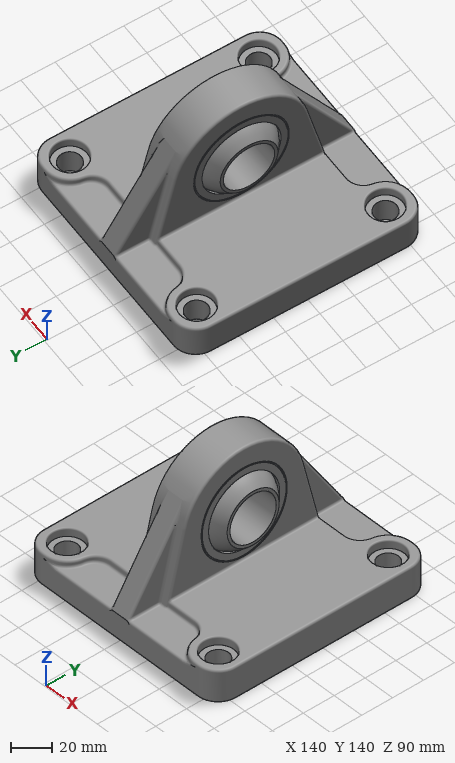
import cadquery as cq
import math

base_side = 140.0
base_height = 20.0
corner_radius = 13.0
bottom_round = 1.0
edge_round = 1.5

hole_offset = 55.0
hole_diameter = 13.0
counterbore_diameter = 20.0
counterbore_depth = 5.0
counterbore_round = 1.0

pocket_depth = 4.0
pocket_bend_radius = 10.0
pocket_overrun = 7.0

axis_height = 50.0
lug_radius = 40.0
lug_thickness = 24.0
lug_side_angle = math.radians(14.0)

rib_thickness = 13.0
rib_top_offset = 33.3

ball_diameter = 50.0
ball_width = 37.0
ball_bore = 30.0
race_bore = 46.0
race_diameter = 54.3
groove_diameter = 55.7
groove_depth = 0.7

half_side = base_side / 2
pocket_floor = base_height - pocket_depth
corner_pad_radius = half_side - hole_offset
lug_tangent_y = lug_radius * math.cos(lug_side_angle)
lug_tangent_z = axis_height + lug_radius * math.sin(lug_side_angle)
lug_half = lug_thickness / 2
rib_half = rib_thickness / 2
lug_top = axis_height + lug_radius


def lug_half_width(z):
    """Distance from the middle to the sloping lug side at height z."""
    return lug_tangent_y + (lug_tangent_z - z) * math.tan(lug_side_angle)


def centred_in(low, high):
    """Selector for items whose centre lies in a box, with a small margin."""
    margin = 0.07
    return cq.selectors.BoxSelector(
        [value - margin for value in low],
        [value + margin for value in high],
    )


def disc(diameter, width):
    """Cylinder on the bearing axis, centred on the lug."""
    return (
        cq.Workplane("YZ")
        .center(0, axis_height)
        .circle(diameter / 2)
        .extrude(width / 2, both=True)
    )


def make_plate():
    pocket = make_pocket()
    plate = (
        cq.Workplane("XY")
        .rect(base_side, base_side)
        .extrude(base_height)
        .edges("|Z")
        .fillet(corner_radius)
        .cut(pocket)
        .cut(pocket.mirror("XZ"))
    )
    plate = plate.faces(">Z").edges().fillet(edge_round)
    return plate.faces("<Z").edges().fillet(bottom_round)


def make_pocket():
    """Cutter for the +Y pocket, bending round the corner pads, wall foot rounded."""
    wall_y = lug_half_width(base_height)
    bend_y = wall_y + pocket_bend_radius
    centre_gap = corner_pad_radius + pocket_bend_radius
    rise = bend_y - hole_offset
    bend_x = hole_offset - math.sqrt(centre_gap**2 - rise**2)

    toward_x = (bend_x - hole_offset) / centre_gap
    toward_y = rise / centre_gap
    joint = (
        hole_offset + corner_pad_radius * toward_x,
        hole_offset + corner_pad_radius * toward_y,
    )
    pad_mid_angle = (math.pi / 2 + math.atan2(toward_y, toward_x)) / 2
    pad_mid = (
        hole_offset + corner_pad_radius * math.cos(pad_mid_angle),
        hole_offset + corner_pad_radius * math.sin(pad_mid_angle),
    )
    bend_mid_angle = (math.atan2(-toward_y, -toward_x) - math.pi / 2) / 2
    bend_mid = (
        bend_x + pocket_bend_radius * math.cos(bend_mid_angle),
        bend_y + pocket_bend_radius * math.sin(bend_mid_angle),
    )

    def mirrored(point):
        return (-point[0], point[1])

    outer_y = half_side + pocket_overrun
    pocket = (
        cq.Workplane("XY", origin=(0, 0, pocket_floor))
        .moveTo(-bend_x, wall_y)
        .lineTo(bend_x, wall_y)
        .threePointArc(bend_mid, joint)
        .threePointArc(pad_mid, (hole_offset, half_side))
        .lineTo(hole_offset, outer_y)
        .lineTo(-hole_offset, outer_y)
        .lineTo(-hole_offset, half_side)
        .threePointArc(mirrored(pad_mid), mirrored(joint))
        .threePointArc(mirrored(bend_mid), (-bend_x, wall_y))
        .close()
        .extrude(pocket_depth)
    )
    wall_foot = centred_in((-half_side, 0, pocket_floor), (half_side, half_side, pocket_floor))
    return pocket.edges(wall_foot).fillet(edge_round)


def make_lug():
    foot_y = lug_half_width(pocket_floor)
    lug = (
        cq.Workplane("YZ")
        .moveTo(-foot_y, pocket_floor)
        .lineTo(-lug_tangent_y, lug_tangent_z)
        .threePointArc((0, lug_top), (lug_tangent_y, lug_tangent_z))
        .lineTo(foot_y, pocket_floor)
        .close()
        .extrude(lug_half, both=True)
    )
    return lug.faces("<X or >X").edges("not <Z").fillet(edge_round)


def make_ribs():
    rib_top = axis_height + math.sqrt(lug_radius**2 - rib_top_offset**2)
    ribs = (
        cq.Workplane("YZ")
        .moveTo(-half_side, pocket_floor)
        .lineTo(-rib_top_offset, rib_top)
        .lineTo(rib_top_offset, rib_top)
        .lineTo(half_side, pocket_floor)
        .close()
        .extrude(rib_half, both=True)
    )
    sloping = ribs.faces("<X or >X").edges("not |Y")
    return sloping.fillet(edge_round)


def blend_joints(body):
    """Round the pocket rims and the joints of lug, ribs and plate."""
    floors = centred_in(
        (-half_side, -half_side, pocket_floor),
        (half_side, half_side, pocket_floor),
    )
    joints = body.faces(floors).edges()
    lug_end_y = lug_half_width(base_height)
    for side in (-1, 1):
        foot_x = side * lug_half
        foot = centred_in((foot_x, 0, base_height), (foot_x, 0, base_height))
        rib_x = side * rib_half
        rib_joints = centred_in(
            (rib_x, -lug_end_y, base_height),
            (rib_x, lug_end_y, lug_top),
        )
        joints = joints.add(body.edges(foot)).add(body.edges(rib_joints))
    return body.newObject([body.val().fillet(edge_round, joints.vals())])


def cut_mounting_holes(body):
    places = [
        (x, y)
        for x in (-hole_offset, hole_offset)
        for y in (-hole_offset, hole_offset)
    ]
    mouth_diameter = counterbore_diameter + 2 * counterbore_round
    seat = base_height - counterbore_depth
    round_z = base_height - counterbore_round
    cutter = (
        cq.Workplane("XZ")
        .moveTo(0, 0)
        .lineTo(hole_diameter / 2, 0)
        .lineTo(hole_diameter / 2, seat)
        .lineTo(counterbore_diameter / 2, seat)
        .lineTo(counterbore_diameter / 2, round_z)
        .radiusArc((mouth_diameter / 2, base_height), counterbore_round)
        .lineTo(0, base_height)
        .close()
        .revolve(360, (0, 0, 0), (0, 1, 0))
    )
    for x, y in places:
        body = body.cut(cutter.translate((x, y, 0)))
    return body


def fit_bearing(body):
    body = body.cut(disc(race_bore, lug_thickness))

    ring = disc(groove_diameter, lug_thickness).cut(disc(race_diameter, lug_thickness))
    core = disc(groove_diameter, lug_thickness - 2 * groove_depth)
    body = body.cut(ring.cut(core))

    half_width = ball_width / 2
    ball_radius = ball_diameter / 2
    bore_radius = ball_bore / 2
    end_radius = math.sqrt(ball_radius**2 - half_width**2)
    ball = (
        cq.Workplane("XY", origin=(0, 0, axis_height))
        .moveTo(-half_width, bore_radius)
        .lineTo(-half_width, end_radius)
        .threePointArc((0, ball_radius), (half_width, end_radius))
        .lineTo(half_width, bore_radius)
        .close()
        .revolve(360, (0, 0, 0), (1, 0, 0))
    )
    return body.union(ball)


body = make_plate().union(make_lug()).union(make_ribs())
body = blend_joints(body)
body = cut_mounting_holes(body)
result = fit_bearing(body)